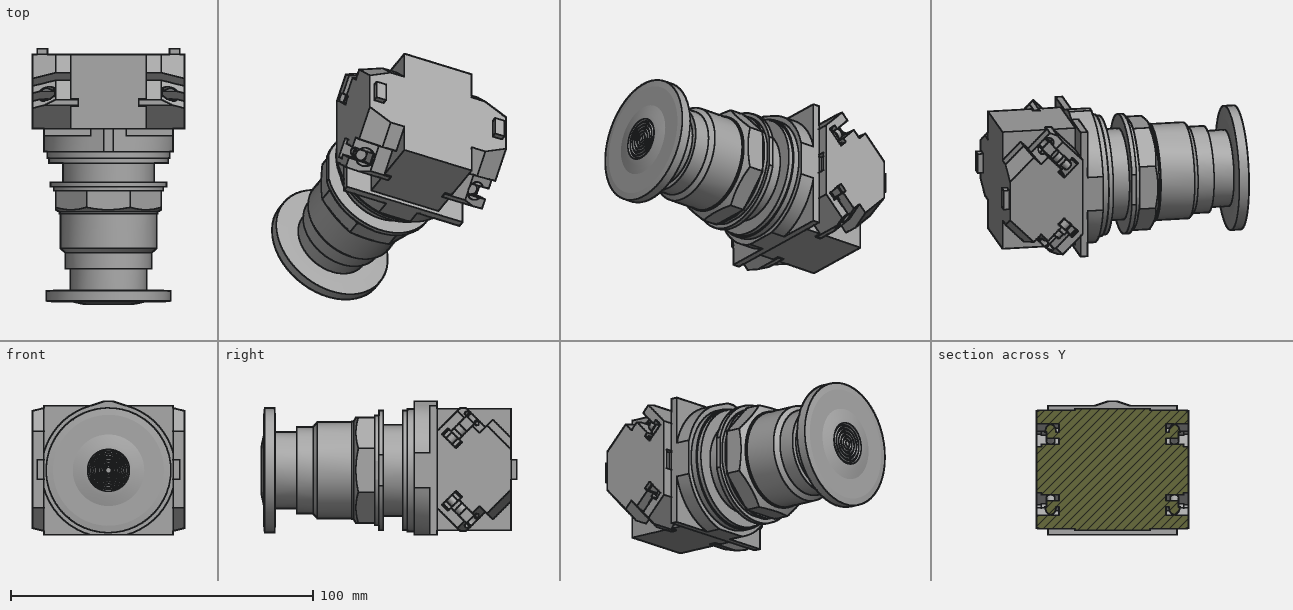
import cadquery as cq
import math


BLOCK_LENGTH = 24.5
BLOCK_CENTRE_Z = 0.25
CORE_HALF_WIDTH = 12.4
CORE_HALF_HEIGHT = 20.1
TERMINAL_HALF_WIDTH = 25.2
RIDGE_HALF_WIDTH = 10.0
RIDGE_HALF_HEIGHT = 20.4

BACK_FACE_SUM = 34.9
TERMINAL_FACE_SUM = 29.9
STEP_FACE_RISE = -1.95
FRONT_FACE_RISE = 12.7
TAPER_START = 17.5
TAPER_DEPTH = 2.7

SCREW_X = 20.5
SCREW_RISE = 5.4
SCREW_OPENING_RADIUS = 3.05
SCREW_OPENING_DEPTH = 1.8
SLOT_WALL_X = 17.8
SLOT_WIDTH = 3.7
SLOT_DEPTH = 11.75
SLOT_FOOT_HEIGHT = 2.8
SLOT_FOOT_WIDTH = 5.6
SLOT_MOUTH_FOOT_WIDTH = 6.6
SLOT_MOUTH_LENGTH = 1.7
SHANK_RADIUS = SLOT_WIDTH / 2
SHANK_TOP_DEPTH = 5.3
SHANK_HEIGHT = 2.2
SHANK_TIP_RADIUS = 1.4
CLAMP_X = 21.9

PIN_X = 21.9
PIN_WIDTH = 3.5
PIN_HEIGHT = 6.5
PIN_LENGTH = 1.9

PLATE_HALF_SIZE = 21.4
PLATE_END = 2.4
FLANGE_RADIUS = 22.2
FLANGE_END = 7.6
KEY_TOP = 22.8
KEY_TIP_HALF_WIDTH = 1.5
KEY_ROOT_HALF_WIDTH = 6.35
RING_RADIUS = 20.3
RING_END = 9.8
SEAL_RADIUS = 19.8
SEAL_END = 11.4
NECK_RADIUS = 15.1
SLEEVE_RADIUS = 16.0
SLEEVE_END = 39.6
BEZEL_RADIUS = 14.4
BEZEL_START = 41.0
BEZEL_END = 46.4

WASHER_START = 17.8
WASHER_END = 19.3
WASHER_RADIUS = 19.9
WASHER_FLAT = 19.2

COLLAR_END = 20.6
COLLAR_RADIUS = 18.4
COLLAR_FLAT = 18.2
NUT_SIDES = 8
NUT_FLAT = 17.5
NUT_CHAMFER_START = 26.05
NUT_CHAMFER_END = 27.6
NUT_RIM_RADIUS = 16.2
NUT_END = 28.2

STEM_RADIUS = 12.7
HEAD_START = 53.45
HEAD_BACK_RADIUS = 16.3
HEAD_RIM_START = 53.7
HEAD_RADIUS = 20.6
HEAD_RIM_END = 57.0
FACE_RADIUS = 18.35
FACE_Y = 57.3
DOME_RADIUS = 11.8
DOME_MIDDLE_RADIUS = 9.5
DOME_MIDDLE_Y = 57.85
BUTTON_TIP = 58.2
LENS_RADIUS = 6.9
LENS_CENTRE_RADIUS = 1.0
LENS_GROOVES = 5
LENS_GROOVE_DEPTH = 0.6

ROOT_HALF = math.sqrt(0.5)


def disc(radius, start, end):
    """Cylinder on the button axis between two distances in front of the joint."""
    return cq.Workplane("XZ").workplane(offset=start).circle(radius).extrude(end - start)


def revolved(outline):
    """Solid of revolution about the Y axis from an outline drawn in the XY plane."""
    return outline.close().revolve(360, (0, 0, 0), (0, 1, 0))


def slope_plane(x, height_sum, rise):
    """Plane on a 45-degree face: local X is X, local Y points back and down, Z points outward."""
    origin = (x, (height_sum - rise) / 2, (height_sum + rise) / 2)
    return cq.Workplane(cq.Plane(origin, (1, 0, 0), (0, 1, 1)))


def taper_cut(height_sum, rise, length):
    """Wedge that tapers a sloping face toward the block's end, running forward from a given rise."""
    origin = (0, (height_sum - rise) / 2, (height_sum + rise) / 2)
    section = cq.Workplane(cq.Plane(origin, (1, 0, 0), (0, -1, 1)))
    return (
        section.moveTo(TAPER_START, 0)
        .lineTo(TERMINAL_HALF_WIDTH, -TAPER_DEPTH)
        .lineTo(TERMINAL_HALF_WIDTH, TAPER_DEPTH)
        .lineTo(TAPER_START, TAPER_DEPTH)
        .close()
        .extrude(length)
    )


def pocket_box(x_inner, width, depth, height):
    """Box from x_inner to the block's end, square to the terminal face and centred on the screw."""
    length = TERMINAL_HALF_WIDTH - x_inner
    face = slope_plane(x_inner, TERMINAL_FACE_SUM, SCREW_RISE).workplane(offset=-depth)
    return face.center(length / 2, 0).rect(length, width).extrude(-height)


def terminal_screw():
    """Screw shank, the clamp below it and the shank's tip, standing in the side slot."""
    axis = slope_plane(SCREW_X, TERMINAL_FACE_SUM, SCREW_RISE)
    foot_top = SLOT_DEPTH - SLOT_FOOT_HEIGHT
    clamp_top = SHANK_TOP_DEPTH + SHANK_HEIGHT
    clamp_height = foot_top - clamp_top
    shank = axis.workplane(offset=-SHANK_TOP_DEPTH).circle(SHANK_RADIUS).extrude(-SHANK_HEIGHT)
    clamp = pocket_box(SLOT_WALL_X, SLOT_WIDTH, clamp_top, clamp_height)
    clamp = clamp.cut(pocket_box(CLAMP_X, SLOT_WIDTH, clamp_top, clamp_height))
    tip = axis.workplane(offset=-foot_top).circle(SHANK_TIP_RADIUS).extrude(-SLOT_FOOT_HEIGHT)
    return shank.union(clamp).union(tip)


def terminal_pocket():
    """Round screw opening and T-shaped side slot, less the screw that fills part of them."""
    face = slope_plane(SCREW_X, TERMINAL_FACE_SUM, SCREW_RISE)
    opening = face.circle(SCREW_OPENING_RADIUS).extrude(-SCREW_OPENING_DEPTH)
    foot_top = SLOT_DEPTH - SLOT_FOOT_HEIGHT
    mouth_x = TERMINAL_HALF_WIDTH - SLOT_MOUTH_LENGTH
    slot = pocket_box(SLOT_WALL_X, SLOT_WIDTH, 0, SLOT_DEPTH)
    foot = pocket_box(SLOT_WALL_X, SLOT_FOOT_WIDTH, foot_top, SLOT_FOOT_HEIGHT)
    mouth_foot = pocket_box(mouth_x, SLOT_MOUTH_FOOT_WIDTH, foot_top, SLOT_FOOT_HEIGHT)
    return opening.union(slot).union(foot).union(mouth_foot).cut(terminal_screw())


def terminal_quarter():
    """One terminal, on the +X side and above the block's middle."""
    back_tip_y = (BACK_FACE_SUM - STEP_FACE_RISE) / 2
    valley_y = (TERMINAL_FACE_SUM - STEP_FACE_RISE) / 2
    quarter = (
        cq.Workplane("YZ")
        .workplane(offset=RIDGE_HALF_WIDTH)
        .moveTo(0, 0)
        .lineTo(BLOCK_LENGTH, 0)
        .lineTo(BLOCK_LENGTH, BACK_FACE_SUM - BLOCK_LENGTH)
        .lineTo(back_tip_y, BACK_FACE_SUM - back_tip_y)
        .lineTo(valley_y, TERMINAL_FACE_SUM - valley_y)
        .lineTo(TERMINAL_FACE_SUM - RIDGE_HALF_HEIGHT, RIDGE_HALF_HEIGHT)
        .lineTo(RIDGE_HALF_HEIGHT - FRONT_FACE_RISE, RIDGE_HALF_HEIGHT)
        .lineTo(0, FRONT_FACE_RISE)
        .close()
        .extrude(TERMINAL_HALF_WIDTH - RIDGE_HALF_WIDTH)
    )
    terminal_face_length = (FRONT_FACE_RISE - STEP_FACE_RISE) * ROOT_HALF
    quarter = quarter.cut(taper_cut(TERMINAL_FACE_SUM, STEP_FACE_RISE, terminal_face_length))
    back_taper_rise = BACK_FACE_SUM - 2 * BLOCK_LENGTH - 2 * TAPER_DEPTH
    back_taper_length = 2 * (STEP_FACE_RISE - back_taper_rise) * ROOT_HALF
    quarter = quarter.cut(taper_cut(BACK_FACE_SUM, back_taper_rise, back_taper_length))
    return quarter.cut(terminal_pocket())


def coupling_pins(y_start):
    """Pair of rectangular pins, one on each side, starting at y_start."""
    return (
        cq.Workplane("XZ", origin=(0, y_start, 0))
        .pushPoints([(-PIN_X, 0), (PIN_X, 0)])
        .rect(PIN_WIDTH, PIN_HEIGHT)
        .extrude(-PIN_LENGTH)
    )


def make_contact_block():
    core = cq.Workplane("XZ").rect(2 * CORE_HALF_WIDTH, 2 * CORE_HALF_HEIGHT).extrude(-BLOCK_LENGTH)
    upper = terminal_quarter()
    side = upper.union(upper.mirror("XY"))
    block = core.union(side).union(side.mirror("YZ"))
    block = block.union(coupling_pins(BLOCK_LENGTH)).cut(coupling_pins(0))
    return block.translate((0, 0, BLOCK_CENTRE_Z))


def flange_key(end):
    """Raised key on top of the flange, with sides sloping down to the round edge."""
    root_z = math.sqrt(FLANGE_RADIUS**2 - KEY_ROOT_HALF_WIDTH**2)
    return (
        cq.Workplane("XZ")
        .moveTo(-KEY_ROOT_HALF_WIDTH, 0)
        .lineTo(-KEY_ROOT_HALF_WIDTH, root_z)
        .lineTo(-KEY_TIP_HALF_WIDTH, KEY_TOP)
        .lineTo(KEY_TIP_HALF_WIDTH, KEY_TOP)
        .lineTo(KEY_ROOT_HALF_WIDTH, root_z)
        .lineTo(KEY_ROOT_HALF_WIDTH, 0)
        .close()
        .extrude(end)
    )


def square_prism(half_size, start, end):
    """Square prism on the button axis between two distances in front of the joint."""
    return (
        cq.Workplane("XZ").workplane(offset=start).rect(2 * half_size, 2 * half_size).extrude(end - start)
    )


def make_operator():
    plate = square_prism(PLATE_HALF_SIZE, 0, PLATE_END)
    flange = disc(FLANGE_RADIUS, 0, FLANGE_END).intersect(square_prism(PLATE_HALF_SIZE, 0, FLANGE_END))
    barrel = revolved(
        cq.Workplane("XY")
        .moveTo(0, 0)
        .lineTo(RING_RADIUS, 0)
        .lineTo(RING_RADIUS, -RING_END)
        .lineTo(SEAL_RADIUS, -RING_END)
        .lineTo(SEAL_RADIUS, -SEAL_END)
        .lineTo(NECK_RADIUS, -SEAL_END)
        .lineTo(NECK_RADIUS, -NUT_END)
        .lineTo(SLEEVE_RADIUS, -NUT_END)
        .lineTo(SLEEVE_RADIUS, -SLEEVE_END)
        .lineTo(BEZEL_RADIUS, -BEZEL_START)
        .lineTo(BEZEL_RADIUS, -BEZEL_END)
        .lineTo(0, -BEZEL_END)
    )
    return plate.union(flange).union(flange_key(FLANGE_END)).union(barrel)


def make_washer():
    ring = disc(WASHER_RADIUS, WASHER_START, WASHER_END)
    between_flats = cq.Workplane("XZ").rect(2 * WASHER_FLAT, 2 * WASHER_RADIUS).extrude(WASHER_END)
    return ring.intersect(between_flats).cut(disc(NECK_RADIUS, WASHER_START, WASHER_END))


def make_nut():
    collar = disc(COLLAR_RADIUS, WASHER_END, COLLAR_END)
    collar = collar.intersect(square_prism(COLLAR_FLAT, WASHER_END, COLLAR_END))
    corner_radius = NUT_FLAT / math.cos(math.pi / NUT_SIDES)
    octagon = (
        cq.Workplane("XZ")
        .workplane(offset=COLLAR_END)
        .polygon(NUT_SIDES, 2 * corner_radius)
        .extrude(NUT_END - COLLAR_END)
        .rotate((0, 0, 0), (0, 1, 0), 180 / NUT_SIDES)
    )
    turned = revolved(
        cq.Workplane("XY")
        .moveTo(0, -COLLAR_END)
        .lineTo(corner_radius, -COLLAR_END)
        .lineTo(corner_radius, -NUT_CHAMFER_START)
        .lineTo(NUT_RIM_RADIUS, -NUT_CHAMFER_END)
        .lineTo(NUT_RIM_RADIUS, -NUT_END)
        .lineTo(0, -NUT_END)
    )
    return collar.union(octagon.intersect(turned)).cut(disc(NECK_RADIUS, WASHER_END, NUT_END))


def make_button():
    outline = (
        cq.Workplane("XY")
        .moveTo(0, -BEZEL_END)
        .lineTo(STEM_RADIUS, -BEZEL_END)
        .lineTo(STEM_RADIUS, -HEAD_START)
        .lineTo(HEAD_BACK_RADIUS, -HEAD_START)
        .lineTo(HEAD_RADIUS, -HEAD_RIM_START)
        .lineTo(HEAD_RADIUS, -HEAD_RIM_END)
        .lineTo(FACE_RADIUS, -FACE_Y)
        .lineTo(DOME_RADIUS, -FACE_Y)
        .threePointArc((DOME_MIDDLE_RADIUS, -DOME_MIDDLE_Y), (LENS_RADIUS, -BUTTON_TIP))
    )
    pitch = (LENS_RADIUS - LENS_CENTRE_RADIUS) / LENS_GROOVES
    for groove in range(LENS_GROOVES):
        crest = LENS_RADIUS - groove * pitch
        outline = outline.lineTo(crest - pitch / 2, -BUTTON_TIP + LENS_GROOVE_DEPTH)
        outline = outline.lineTo(crest - pitch, -BUTTON_TIP)
    return revolved(outline.lineTo(0, -BUTTON_TIP))


contact_block = make_contact_block()
operator = make_operator()
washer = make_washer()
nut = make_nut()
button = make_button()

result = cq.Compound.makeCompound(
    [contact_block.val(), operator.val(), washer.val(), nut.val(), button.val()]
)